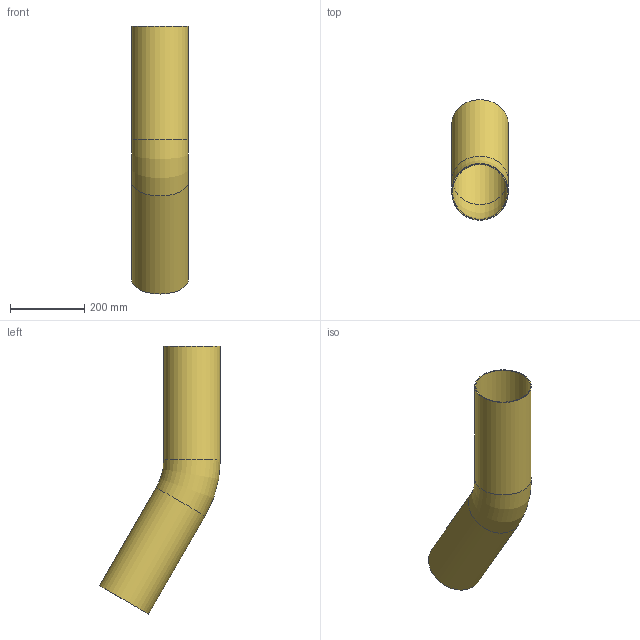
import cadquery as cq
import math

outer_diameter = 152.4
wall_thickness = 2.11
inner_diameter = outer_diameter - 2 * wall_thickness
leg_length = 2 * outer_diameter
bend_radius = 1.5 * outer_diameter
bend_angle = 30.0


def bend_point(angle_degrees):
    """Centreline point (Y, Z) at an angle around the elbow, which starts at the origin."""
    angle = math.radians(angle_degrees)
    return (bend_radius * (1 - math.cos(angle)), -bend_radius * math.sin(angle))


def pipe_centreline():
    """Path from the top of the vertical leg to the end of the lower leg, in the YZ plane."""
    slope = math.radians(bend_angle)
    bend_end_y, bend_end_z = bend_point(bend_angle)
    lower_end = (
        bend_end_y + leg_length * math.sin(slope),
        bend_end_z - leg_length * math.cos(slope),
    )
    return (
        cq.Workplane("YZ")
        .moveTo(0, leg_length)
        .lineTo(0, 0)
        .threePointArc(bend_point(bend_angle / 2), bend_point(bend_angle))
        .lineTo(*lower_end)
    )


result = (
    cq.Workplane("XY")
    .workplane(offset=leg_length)
    .circle(outer_diameter / 2)
    .circle(inner_diameter / 2)
    .sweep(pipe_centreline())
)